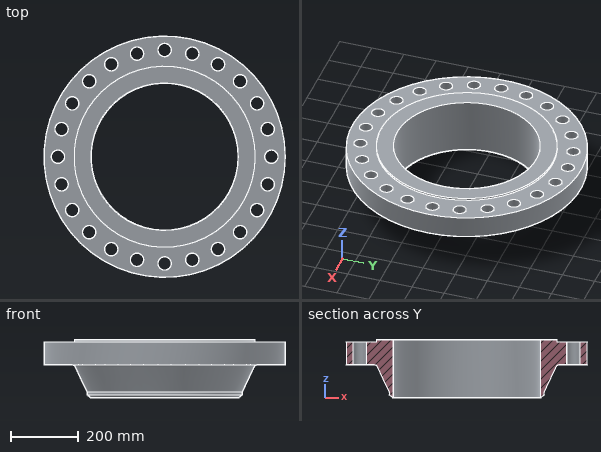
import cadquery as cq

flange_diameter = 711.0
total_height = 171.5

face_diameter = 533.5
face_height = 6.5

flange_thickness = 68.0

neck_top_diameter = 533.5
weld_end_diameter = 458.0
weld_end_height = 17.0
bevel_width = 11.0
bevel_height = 8.5
neck_fillet_radius = 10.0
edge_margin = 3.5

bore_diameter = 432.5
bolt_circle_diameter = 629.0
bolt_hole_diameter = 38.5
bolt_count = 24

face_bottom_z = total_height - face_height
flange_bottom_z = face_bottom_z - flange_thickness


def flange_body():
    """Revolve the half section, from the bevelled weld end up to the raised face."""
    bore_radius = bore_diameter / 2
    weld_radius = weld_end_diameter / 2
    profile = (
        cq.Workplane("XZ")
        .moveTo(bore_radius, 0)
        .lineTo(weld_radius - bevel_width, 0)
        .lineTo(weld_radius, bevel_height)
        .lineTo(weld_radius, weld_end_height)
        .lineTo(neck_top_diameter / 2, flange_bottom_z)
        .lineTo(flange_diameter / 2, flange_bottom_z)
        .lineTo(flange_diameter / 2, face_bottom_z)
        .lineTo(face_diameter / 2, face_bottom_z)
        .lineTo(face_diameter / 2, total_height)
        .lineTo(bore_radius, total_height)
        .close()
    )
    return profile.revolve(360, (0, 0, 0), (0, 1, 0))


def bolt_holes():
    """Ring of through holes, the first one on the X axis."""
    return (
        cq.Workplane("XY")
        .workplane(offset=flange_bottom_z)
        .polarArray(bolt_circle_diameter / 2, 0, 360, bolt_count)
        .circle(bolt_hole_diameter / 2)
        .extrude(flange_thickness)
    )


def neck_root_edge():
    """Box selector for the circular edge where the neck meets the flange underside."""
    reach = neck_top_diameter / 2 + edge_margin
    return cq.selectors.BoxSelector(
        (-reach, -reach, flange_bottom_z - edge_margin),
        (reach, reach, flange_bottom_z + edge_margin),
        boundingbox=True,
    )


body = flange_body().edges(neck_root_edge()).fillet(neck_fillet_radius)
result = body.cut(bolt_holes())